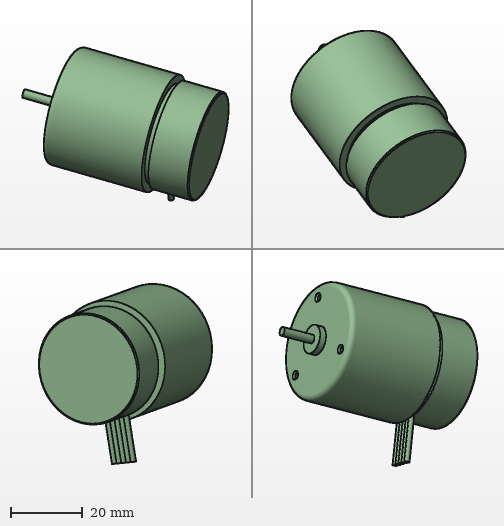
import cadquery as cq
import math

total_length = 55.1
shaft_length = 10.0
pilot_length = 2.0
body_length = 29.6
neck_length = 1.55
pilot_start = shaft_length
body_start = pilot_start + pilot_length
neck_start = body_start + body_length
cap_start = neck_start + neck_length
cap_length = total_length - cap_start

shaft_diameter = 2.55
pilot_diameter = 8.25
body_diameter = 34.0
neck_diameter = 29.1
cap_diameter = 31.45
body_fillet = 1.5
cap_chamfer = 0.4

hole_count = 3
hole_circle_radius = 13.0
hole_diameter = 1.6
countersink_diameter = 2.6
countersink_depth = (countersink_diameter - hole_diameter) / 2
hole_depth = 3.0
drill_tip_depth = 0.45

wire_count = 5
wire_diameter = 1.55
wire_pitch = 1.5
cable_tilt = 10.0
cable_reach = 28.5
cable_root = neck_diameter / 2 - 2.2


def cylinder(start, length, diameter):
    """Cylinder on the motor axis, beginning at X = start."""
    return cq.Workplane("YZ", origin=(start, 0, 0)).circle(diameter / 2).extrude(length)


def mounting_hole():
    """Cutter along +X: countersink, straight bore and conical drill tip."""
    return (
        cq.Workplane("XY")
        .lineTo(0, countersink_diameter / 2)
        .lineTo(countersink_depth, hole_diameter / 2)
        .lineTo(hole_depth, hole_diameter / 2)
        .lineTo(hole_depth + drill_tip_depth, 0)
        .close()
        .revolve(360, (0, 0, 0), (1, 0, 0))
    )


def ribbon_cable():
    """Side-by-side wires pointing down, then tilted toward +Y about the motor axis."""
    half_span = wire_pitch * (wire_count - 1) / 2
    wire_centers = [(0, i * wire_pitch - half_span) for i in range(wire_count)]
    wires = (
        cq.Workplane("XY", origin=(cap_start, 0, -cable_reach))
        .pushPoints(wire_centers)
        .circle(wire_diameter / 2)
        .extrude(cable_reach - cable_root)
    )
    return wires.rotate((0, 0, 0), (1, 0, 0), cable_tilt)


body = cylinder(body_start, body_length, body_diameter).faces("<X").edges().fillet(body_fillet)
cap = cylinder(cap_start, cap_length, cap_diameter).faces(">X").edges().chamfer(cap_chamfer)
motor = body.union(cylinder(neck_start, neck_length, neck_diameter)).union(cap)

motor = motor.union(cylinder(pilot_start, pilot_length, pilot_diameter))
motor = motor.union(cylinder(0, shaft_length, shaft_diameter))

for i in range(hole_count):
    angle = math.radians(90 + i * 360 / hole_count)
    hole_y = hole_circle_radius * math.cos(angle)
    hole_z = hole_circle_radius * math.sin(angle)
    motor = motor.cut(mounting_hole().translate((body_start, hole_y, hole_z)))

result = motor.union(ribbon_cable())